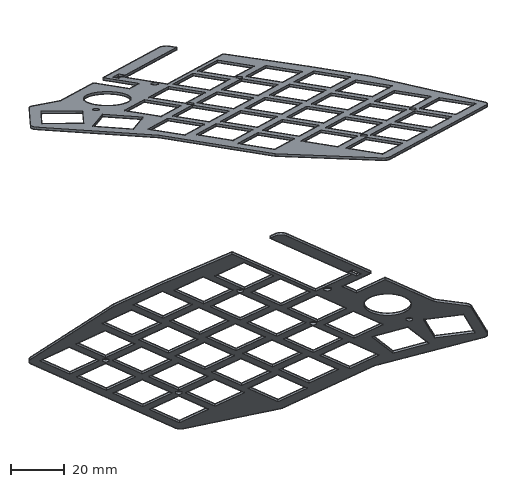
import cadquery as cq


thickness = 1.0
width = 148.1
corner_radius = 3.0
top_edge = 116.3
bottom_edge = 12.7
left_edge = 6.2

recess_left = 12.0
recess_right = 31.1
recess_floor = 71.4
arm_top = 113.9

notch_depth = 15.3
notch_bottom = 59.5
notch_top = 67.0

arm_corner = (left_edge, arm_top)
upper_right_corner = (width, 107.4)
lower_right_corner = (width, 27.8)
thumb_bottom_corner = (12.3, -0.6)
thumb_left_corner = (-0.5, 21.6)

recess_lip = (recess_right, 115.0)
top_edge_left = (66.7, top_edge)
top_edge_right = (92.9, top_edge)
bottom_edge_right = (108.7, bottom_edge)
bottom_edge_left = (59.5, bottom_edge)
thumb_shoulder = (left_edge, 33.9)

switch_size = 15.5
key_row_span = 95.2
first_column_x = 40.9
inner_column = (70.5, 4)
tall_column = (63.5, 5)
middle_column = (66.0, 5)
outer_column = (68.1, 4)
columns = [inner_column, tall_column, middle_column, tall_column, outer_column, outer_column]
pitch = key_row_span / (len(columns) - 1)

thumb_keys = [(16.9, 15.7, 30), (37.8, 20.6, 15)]

encoder_diameter = 17.6
encoder_center = (20.3, 44.5)
large_hole_diameter = 3.0
large_hole_center = (26.8, 69.5)
screw_diameter = 2.5
screw_pair_spacing = 2 * pitch
inner_screw = (50.7, 53.5)
outer_screw = (126.5, 49.2)
thumb_screw = (23.3, 30.2)

window_width = 2.4
window_height = 4.5
window_center = (10.4, 71.5)


def make_plate():
    outline = [
        arm_corner,
        (recess_left, arm_top),
        (recess_left, recess_floor),
        (recess_right, recess_floor),
        recess_lip,
        top_edge_left,
        top_edge_right,
        upper_right_corner,
        lower_right_corner,
        bottom_edge_right,
        bottom_edge_left,
        thumb_bottom_corner,
        thumb_left_corner,
        thumb_shoulder,
        (left_edge, notch_bottom),
        (left_edge + notch_depth, notch_bottom),
        (left_edge + notch_depth, notch_top),
        (left_edge, notch_top),
    ]
    plate = cq.Workplane("XY").polyline(outline).close().extrude(thickness)
    rounded = [arm_corner, upper_right_corner, lower_right_corner, thumb_bottom_corner, thumb_left_corner]
    for x, y in rounded:
        edge = cq.selectors.NearestToPointSelector((x, y, thickness / 2))
        plate = plate.edges("|Z").edges(edge).fillet(corner_radius)
    return plate


def rectangle_cutter(x, y, size_x, size_y, tilt=0):
    cutter = cq.Workplane("XY").rect(size_x, size_y).extrude(thickness)
    return cutter.rotate((0, 0, 0), (0, 0, 1), tilt).translate((x, y, 0))


def round_cutter(centers, diameter):
    return cq.Workplane("XY").pushPoints(centers).circle(diameter / 2).extrude(thickness)


def key_centers():
    centers = []
    for column, (middle_y, key_count) in enumerate(columns):
        bottom_y = middle_y - pitch * (key_count - 1) / 2
        for row in range(key_count):
            centers.append((first_column_x + column * pitch, bottom_y + row * pitch))
    return centers


result = make_plate()

key_cutter = cq.Workplane("XY").pushPoints(key_centers()).rect(switch_size, switch_size).extrude(thickness)
result = result.cut(key_cutter)
for key_x, key_y, key_tilt in thumb_keys:
    result = result.cut(rectangle_cutter(key_x, key_y, switch_size, switch_size, key_tilt))

result = result.cut(rectangle_cutter(*window_center, window_width, window_height))

screw_centers = [thumb_screw]
for screw_x, screw_y in (inner_screw, outer_screw):
    screw_centers += [(screw_x, screw_y), (screw_x, screw_y + screw_pair_spacing)]
result = result.cut(round_cutter([encoder_center], encoder_diameter))
result = result.cut(round_cutter([large_hole_center], large_hole_diameter))
result = result.cut(round_cutter(screw_centers, screw_diameter))